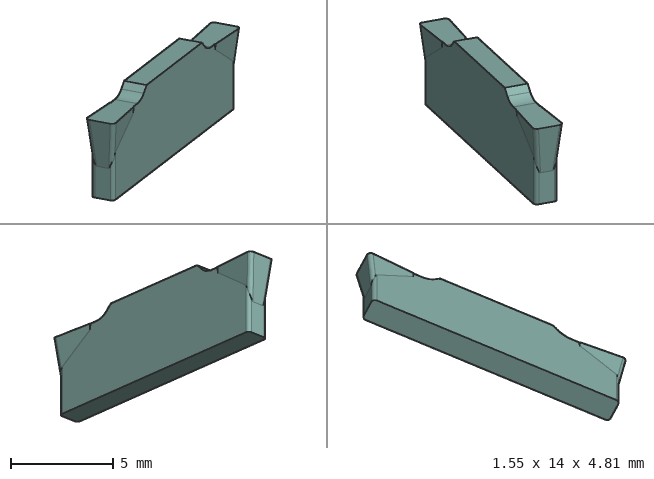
import cadquery as cq
import math

overall_length = 14.02
height = 4.81
body_length = 13.4
body_width = 1.23
ledge_drop = 0.6
ledge_z = height - ledge_drop
body_corner_radius = 0.2

raised_length = 6.11
ramp_angle = math.radians(45)
blend_radius = 1.0

head_width = 1.55
head_corner_radius = 0.21
end_relief = math.tan(math.radians(7))
side_relief = math.tan(math.radians(5))
back_taper = math.tan(math.radians(3.4))
flank_length = 2.48
flank_step_length = 0.11
flank_step_width = 0.05
head_depth = 2.8


def make_body():
    body = cq.Workplane("XY").box(body_width, body_length, height, centered=(True, True, False))
    return body.edges("|Z").fillet(body_corner_radius)


def head_outline(depth):
    """Corner points of the +Y head at a given depth below the ledge."""
    sharp_half_width = head_width / 2 + head_corner_radius * back_taper
    drafted_half_width = sharp_half_width - depth * side_relief
    tip_setback = depth * end_relief
    tip_y = overall_length / 2 - tip_setback
    flank_end_y = overall_length / 2 - flank_length
    back_y = flank_end_y - flank_step_length
    tip_half_width = drafted_half_width - tip_setback * back_taper
    flank_half_width = drafted_half_width - flank_length * back_taper
    back_half_width = flank_half_width - flank_step_width
    right_side = [(tip_half_width, tip_y), (flank_half_width, flank_end_y), (back_half_width, back_y)]
    left_side = [(-x, y) for x, y in reversed(right_side)]
    return right_side + left_side


def make_head():
    head = (
        cq.Workplane("XY", origin=(0, 0, ledge_z))
        .polyline(head_outline(0))
        .close()
        .workplane(offset=-head_depth)
        .polyline(head_outline(head_depth))
        .close()
        .loft(ruled=True, combine=True)
    )
    tip_corners = head.faces(">Y").edges("not #Z")
    return head.newObject(tip_corners.vals()).fillet(head_corner_radius)


def make_ledge_cutter():
    """Space above the +Y ledge, including the ramp and its blend."""
    blend_rise = blend_radius * (1 - math.cos(ramp_angle))
    ramp_top_y = raised_length / 2
    blend_top_y = ramp_top_y + (ledge_drop - blend_rise) / math.tan(ramp_angle)
    blend_end_y = blend_top_y + blend_radius * math.sin(ramp_angle)
    half_angle = ramp_angle / 2
    blend_middle = (
        blend_end_y - blend_radius * math.sin(half_angle),
        ledge_z + blend_radius * (1 - math.cos(half_angle)),
    )
    return (
        cq.Workplane("YZ")
        .moveTo(ramp_top_y, height)
        .lineTo(blend_top_y, ledge_z + blend_rise)
        .threePointArc(blend_middle, (blend_end_y, ledge_z))
        .lineTo(overall_length / 2, ledge_z)
        .lineTo(overall_length / 2, height)
        .close()
        .extrude(body_width, both=True)
    )


head = make_head()
ledge_cutter = make_ledge_cutter()
result = make_body()
for end_angle in (0, 180):
    result = result.cut(ledge_cutter.rotate((0, 0, 0), (0, 0, 1), end_angle))
    result = result.union(head.rotate((0, 0, 0), (0, 0, 1), end_angle))